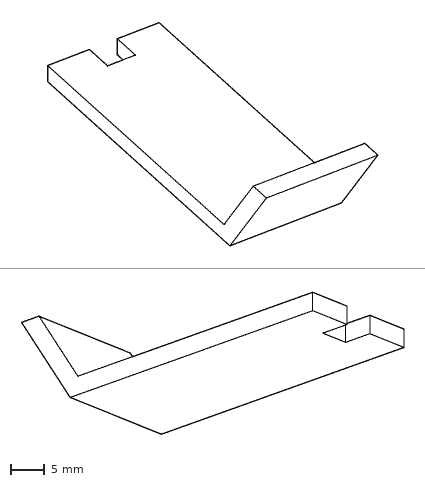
import cadquery as cq
import math

length = 60.0
width = 20.0
height = 15.0
thickness = 3.0
bend_x = 49.95
slot_size = 5.0

leg_run = length - bend_x
leg_slope = leg_run / height
leg_width_x = thickness * math.hypot(leg_run, height) / height
inner_bend_x = bend_x + thickness * leg_slope - leg_width_x

profile = [
    (0, 0),
    (bend_x, 0),
    (length, height),
    (length - leg_width_x, height),
    (inner_bend_x, thickness),
    (0, thickness),
]
strip = cq.Workplane("XZ").polyline(profile).close().extrude(width / 2, both=True)

slot = cq.Workplane("XY").box(slot_size, slot_size, thickness, centered=(False, True, False))

result = strip.cut(slot)